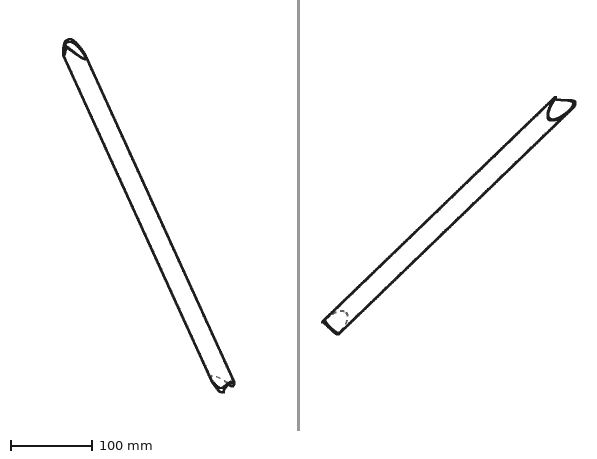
import cadquery as cq

TUBE_RADIUS = 12.5
WALL = 1.2
INNER_RADIUS = TUBE_RADIUS - WALL
TUBE_ORIGIN = cq.Vector(0, 0.93, 2.062)
TUBE_AXIS = cq.Vector(-1, 0.331, 1.064).normalized()

UPPER_DISTANCE = 240.33
UPPER_OFFSET = -0.546
UPPER_MATE_AXIS = cq.Vector(1, 0.051, -0.184).normalized()
UPPER_MATE_RADIUS = 13.82

UPPER_SIDE_DISTANCE = 242.03
UPPER_SIDE_OFFSET = 0.739
UPPER_SIDE_MATE_AXIS = cq.Vector(0.053, 1, 0.594).normalized()
UPPER_SIDE_MATE_RADIUS = 13.29

LOWER_DISTANCE = -238.55
LOWER_OFFSET = 0.263
LOWER_MATE_AXIS = cq.Vector(1, 0.032, 0.095).normalized()
LOWER_MATE_RADIUS = 12.37

LOWER_SIDE_DISTANCE = -249.81
LOWER_SIDE_OFFSET = -1.255
LOWER_SIDE_MATE_AXIS = cq.Vector(0.263, 1, -0.071).normalized()
LOWER_SIDE_MATE_RADIUS = 11.31

SADDLES = [
    (UPPER_DISTANCE, UPPER_OFFSET, UPPER_MATE_AXIS, UPPER_MATE_RADIUS),
    (UPPER_SIDE_DISTANCE, UPPER_SIDE_OFFSET, UPPER_SIDE_MATE_AXIS, UPPER_SIDE_MATE_RADIUS),
    (LOWER_DISTANCE, LOWER_OFFSET, LOWER_MATE_AXIS, LOWER_MATE_RADIUS),
    (LOWER_SIDE_DISTANCE, LOWER_SIDE_OFFSET, LOWER_SIDE_MATE_AXIS, LOWER_SIDE_MATE_RADIUS),
]

END_ALLOWANCE = 30.0
CUTTER_LENGTH = 120.0
CLEARING_WIDTH = 4 * TUBE_RADIUS
CLEARING_DEPTH = 60.0


def make_tube():
    """Hollow tube, longer than the finished part at both ends."""
    start = TUBE_ORIGIN + TUBE_AXIS * (LOWER_DISTANCE - END_ALLOWANCE)
    length = UPPER_DISTANCE - LOWER_DISTANCE + 2 * END_ALLOWANCE
    plane = cq.Plane(origin=start, normal=TUBE_AXIS)
    return cq.Workplane(plane).circle(TUBE_RADIUS).circle(INNER_RADIUS).extrude(length)


def cut_saddle(tube, distance, sideways_offset, mate_axis, mate_radius):
    """Notch the tube end around a mating tube and clear all beyond the mating axis."""
    sideways = TUBE_AXIS.cross(mate_axis).normalized()
    center = TUBE_ORIGIN + TUBE_AXIS * distance + sideways * sideways_offset
    outward = TUBE_AXIS if distance > 0 else TUBE_AXIS * -1
    across = outward.cross(mate_axis)
    plane = cq.Plane(origin=center, xDir=across, normal=mate_axis)
    mating_tube = cq.Workplane(plane).circle(mate_radius).extrude(CUTTER_LENGTH / 2, both=True)
    clearing_block = (
        cq.Workplane(plane)
        .center(0, CLEARING_DEPTH / 2)
        .rect(CLEARING_WIDTH, CLEARING_DEPTH)
        .extrude(CUTTER_LENGTH / 2, both=True)
    )
    return tube.cut(mating_tube).cut(clearing_block)


result = make_tube()
for saddle in SADDLES:
    result = cut_saddle(result, *saddle)